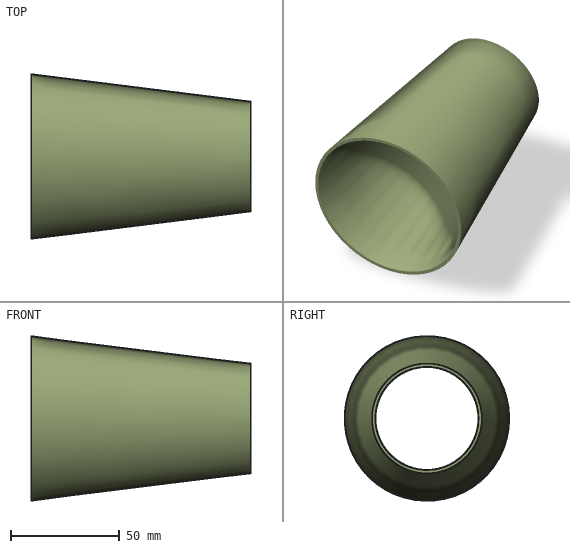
import cadquery as cq

length = 101.6
large_diameter = 76.2
small_diameter = 50.8
wall = 1.6

large_radius = large_diameter / 2
small_radius = small_diameter / 2
half_length = length / 2

wall_section = (
    cq.Workplane("XY")
    .moveTo(-half_length, large_radius)
    .lineTo(half_length, small_radius)
    .lineTo(half_length, small_radius - wall)
    .lineTo(-half_length, large_radius - wall)
    .close()
)

result = wall_section.revolve(360, (0, 0, 0), (1, 0, 0))